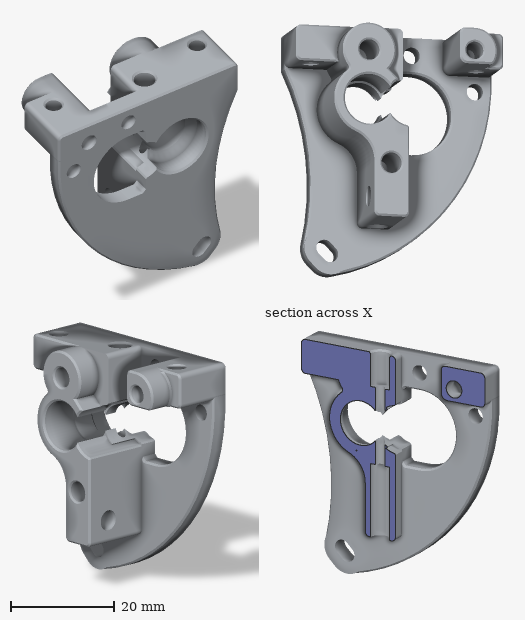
import cadquery as cq
import math

DEPTH = 17.5
WIDTH = 41.35
HEIGHT = 47.25
EDGE_CHAMFER = 0.4
CORNER_CHAMFER = 0.3
JOINT_CHAMFER = 0.35
CORNER_FILLET = 1.0

PLATE_THICKNESS = 3.6
PLATE_FRONT = DEPTH - PLATE_THICKNESS
FRONT_ARC_RADIUS = 39.9
REAR_ARC_RADIUS = 51.1
REAR_ARC_CENTER = (87.3, 17.5)
SLOT_UPPER = (33.5, 5.15)
SLOT_LOWER = (32.35, 4.0)
SLOT_ANGLE = 45
TIP_RADIUS = 4.0
FRONT_ARC_RISE = math.sqrt((FRONT_ARC_RADIUS - TIP_RADIUS) ** 2 - (FRONT_ARC_RADIUS - SLOT_LOWER[0]) ** 2)
FRONT_ARC_CENTER = (FRONT_ARC_RADIUS, SLOT_LOWER[1] + FRONT_ARC_RISE)
SCREW_HOLE = 3.2
PLATE_HOLES = [(16.05, 43.8), (3.45, 37.2)]

RAIL_HEIGHT = 7.05
RAIL_BOTTOM = HEIGHT - RAIL_HEIGHT
RAIL_FRONT = 5.0
RAIL_HOLE_X = 8.55
RAIL_HOLE_Y = (4.65, 37.65)

BORE_Y = 28.0
BORE_Z = 32.25
BORE_RADIUS = 4.9
BORE_NARROW_RADIUS = 4.5
BORE_STEP = 7.85
BORE_BOSS_RADIUS = 7.05
FLAT_LENGTH = 4.7
ROLLER_Y = 19.6
FLARE_START = 12.3
POCKET_RADIUS = BORE_NARROW_RADIUS + PLATE_FRONT - FLARE_START
PIVOT_Y = 28.05
PIVOT_Z = 41.95
PIVOT_BOSS_RADIUS = HEIGHT - PIVOT_Z
PIVOT_HOLE = 4.0
PIVOT_HOLE_DEPTH = 10.0
DRILL_HALF_ANGLE = math.radians(59)
CLAMP_SIDE = 20.05
LEG_WIDTH = 6.95
LEG_BOTTOM = 9.35
LEG_FILLET = 6.0
NECK_FILLET = 0.7
LEG_HOLE = 4.0
LEG_HOLE_Z = 19.9
CROSS_HOLE_X = 5.0
CROSS_HOLE_Z = 14.0

FEED_X = 11.55
FEED_Y = 23.6
FEED_HOLE = 2.1
FEED_SOCKET = 4.2
LOWER_SOCKET_TOP = 2 * BORE_Z - RAIL_BOTTOM

HINGE_Y = 7.0
HINGE_RADIUS = 4.45
HINGE_Z = HEIGHT - HINGE_RADIUS
HINGE_HOLE = 3.4
HINGE_FILLET = 1.4
HINGE_BLOCK_WIDTH = 9.9
HOLE_CHAMFER = 0.35

OPENING_RADIUS = 8.0
OPENING_Y = 16.05
OPENING_CORNER_Y = 19.35

PICK_MARGIN = 0.05


def box(x0, x1, y0, y1, z0, z1):
    return cq.Workplane("XY").box(x1 - x0, y1 - y0, z1 - z0, centered=False).translate((x0, y0, z0))


def disc_x(y, z, radius, x0, x1):
    """Cylinder along X."""
    return cq.Workplane("YZ", origin=(x0, 0, 0)).center(y, z).circle(radius).extrude(x1 - x0)


def disc_z(x, y, radius, z0, z1):
    """Cylinder along Z."""
    return cq.Workplane("XY", origin=(0, 0, z0)).center(x, y).circle(radius).extrude(z1 - z0)


def cone(point, direction, radius_start, radius_end, half_angle=math.pi / 4):
    length = abs(radius_end - radius_start) / math.tan(half_angle)
    solid = cq.Solid.makeCone(radius_start, radius_end, length, cq.Vector(*point), cq.Vector(*direction))
    return cq.Workplane(solid)


def rim_x(y, z, diameter):
    """Countersink of a hole that opens on the X=0 face."""
    return cone((0, y, z), (1, 0, 0), diameter / 2 + HOLE_CHAMFER, diameter / 2)


def rim_top(x, y, diameter):
    """Countersink of a hole that opens on the top face."""
    return cone((x, y, HEIGHT), (0, 0, -1), diameter / 2 + EDGE_CHAMFER, diameter / 2)


def toward(start, end, distance):
    """Point at a distance from start, in the direction of end."""
    scale = distance / math.hypot(end[0] - start[0], end[1] - start[1])
    return (start[0] + scale * (end[0] - start[0]), start[1] + scale * (end[1] - start[1]))


def arc_middle(center, radius, start, end):
    """Middle of the shorter arc between two points of a circle."""
    chord_middle = ((start[0] + end[0]) / 2, (start[1] + end[1]) / 2)
    return toward(center, chord_middle, radius)


def make_plate():
    front_top = RAIL_BOTTOM + CORNER_FILLET
    front_reach = math.sqrt(FRONT_ARC_RADIUS**2 - (front_top - FRONT_ARC_CENTER[1]) ** 2)
    front_start = (FRONT_ARC_CENTER[0] - front_reach, front_top)
    front_end = toward(FRONT_ARC_CENTER, SLOT_LOWER, FRONT_ARC_RADIUS)
    rear_end = toward(REAR_ARC_CENTER, SLOT_UPPER, REAR_ARC_RADIUS)
    rear_rise = math.sqrt(REAR_ARC_RADIUS**2 - (REAR_ARC_CENTER[0] - WIDTH) ** 2)
    rear_start = (WIDTH, REAR_ARC_CENTER[1] + rear_rise)
    tip_offset = TIP_RADIUS / math.sqrt(2)
    flat_lower = (SLOT_LOWER[0] + tip_offset, SLOT_LOWER[1] - tip_offset)
    flat_upper = (SLOT_UPPER[0] + tip_offset, SLOT_UPPER[1] - tip_offset)
    plate = (
        cq.Workplane("YZ", origin=(PLATE_FRONT, 0, 0))
        .moveTo(front_start[0], HEIGHT)
        .lineTo(*front_start)
        .threePointArc(arc_middle(FRONT_ARC_CENTER, FRONT_ARC_RADIUS, front_start, front_end), front_end)
        .threePointArc(arc_middle(SLOT_LOWER, TIP_RADIUS, front_end, flat_lower), flat_lower)
        .lineTo(*flat_upper)
        .threePointArc(arc_middle(SLOT_UPPER, TIP_RADIUS, flat_upper, rear_end), rear_end)
        .threePointArc(arc_middle(REAR_ARC_CENTER, REAR_ARC_RADIUS, rear_end, rear_start), rear_start)
        .lineTo(WIDTH, HEIGHT)
        .close()
        .extrude(PLATE_THICKNESS)
        .edges("|X and >Z")
        .fillet(CORNER_FILLET)
        .faces("<X or >X")
        .edges()
        .chamfer(EDGE_CHAMFER)
    )
    top_edge = box(PLATE_FRONT, PLATE_FRONT + EDGE_CHAMFER, HINGE_Y, BORE_Y, RAIL_BOTTOM, HEIGHT)
    return plate.union(top_edge).union(around_slot(TIP_RADIUS, EDGE_CHAMFER))


def around_slot(radius, thickness):
    """Stadium concentric with the slot, starting at the plate front."""
    slot_length = math.hypot(SLOT_UPPER[0] - SLOT_LOWER[0], SLOT_UPPER[1] - SLOT_LOWER[1])
    return (
        cq.Workplane("YZ", origin=(PLATE_FRONT, 0, 0))
        .center((SLOT_UPPER[0] + SLOT_LOWER[0]) / 2, (SLOT_UPPER[1] + SLOT_LOWER[1]) / 2)
        .slot2D(slot_length + 2 * radius, 2 * radius, SLOT_ANGLE)
        .extrude(thickness)
    )


def make_plate_cuts():
    cuts = around_slot(SCREW_HOLE / 2, PLATE_THICKNESS)
    for y, z in PLATE_HOLES:
        cuts = cuts.union(disc_x(y, z, SCREW_HOLE / 2, PLATE_FRONT, DEPTH))
    opening_top = BORE_Z + OPENING_RADIUS
    opening_bottom = BORE_Z - OPENING_RADIUS
    corner = CLAMP_SIDE - OPENING_CORNER_Y
    opening = (
        cq.Workplane("YZ", origin=(PLATE_FRONT, 0, 0))
        .moveTo(OPENING_CORNER_Y, opening_top)
        .lineTo(OPENING_Y, opening_top)
        .threePointArc((OPENING_Y - OPENING_RADIUS, BORE_Z), (OPENING_Y, opening_bottom))
        .lineTo(OPENING_CORNER_Y, opening_bottom)
        .lineTo(CLAMP_SIDE, opening_bottom + corner)
        .lineTo(CLAMP_SIDE, opening_top - corner)
        .close()
        .extrude(PLATE_THICKNESS)
    )
    mouth = opening.faces("<X").wires().toPending().offset2D(EDGE_CHAMFER).extrude(EDGE_CHAMFER, taper=45)
    mouth = mouth.intersect(box(PLATE_FRONT, DEPTH, 0, CLAMP_SIDE, 0, HEIGHT))
    roller_bore = disc_x(ROLLER_Y, BORE_Z, BORE_NARROW_RADIUS, PLATE_FRONT, DEPTH)
    return cuts.union(opening).union(mouth).union(roller_bore)


def make_clamp():
    """Bosses around the bore and the pivot, with the leg below."""
    bore_boss = disc_x(BORE_Y, BORE_Z, BORE_BOSS_RADIUS, 0, PLATE_FRONT)
    pivot_boss = disc_x(PIVOT_Y, PIVOT_Z, PIVOT_BOSS_RADIUS, 0, PLATE_FRONT)
    leg = box(0, PLATE_FRONT, CLAMP_SIDE, CLAMP_SIDE + LEG_WIDTH, LEG_BOTTOM, BORE_Z)
    leg = leg.edges("|X and <Z").fillet(CORNER_FILLET)
    neck = (BORE_Y + BORE_BOSS_RADIUS / 2, (BORE_Z + PIVOT_Z) / 2)
    crook = (CLAMP_SIDE + LEG_WIDTH, BORE_Z - BORE_BOSS_RADIUS)
    clamp = bore_boss.union(pivot_boss).union(leg)
    for (y, z), radius in ((neck, NECK_FILLET), (crook, LEG_FILLET)):
        clamp = clamp.edges(cq.selectors.NearestToPointSelector((PLATE_FRONT / 2, y, z))).fillet(radius)
    clamp = clamp.union(guide_flat()).cut(make_bores())
    return chamfer_side_corners(clamp).faces("<X").edges().chamfer(EDGE_CHAMFER)


def chamfer_side_corners(body):
    """Break the corners between the roller bore and the flat clamp side."""
    low = (-PICK_MARGIN, CLAMP_SIDE - PICK_MARGIN, BORE_Z - BORE_RADIUS - PICK_MARGIN)
    high = (DEPTH + PICK_MARGIN, CLAMP_SIDE + PICK_MARGIN, BORE_Z + BORE_RADIUS + PICK_MARGIN)
    return body.edges(cq.selectors.BoxSelector(low, high)).edges("|X").chamfer(CORNER_CHAMFER)


def guide_flat():
    """Block on the upper -Y side of the bore with a 45 degree flat, tangent to the bore boss."""
    flat = box(0, PLATE_FRONT, -BORE_BOSS_RADIUS, 0, -FLAT_LENGTH / 2, FLAT_LENGTH / 2)
    return flat.rotate((0, 0, 0), (1, 0, 0), -45).translate((0, BORE_Y, BORE_Z))


def make_bores():
    bores = disc_x(BORE_Y, BORE_Z, BORE_RADIUS, 0, PLATE_FRONT)
    bores = bores.union(disc_x(ROLLER_Y, BORE_Z, BORE_RADIUS, 0, PLATE_FRONT))
    return bores.cut(make_lips())


def make_lips():
    """Ring that narrows both bores next to the feed passage, kept within 45 degree planes."""
    side = math.sqrt(2) * BORE_BOSS_RADIUS
    lips = (
        cq.Workplane("YZ", origin=(BORE_STEP, 0, 0))
        .moveTo(BORE_Y - side, BORE_Z)
        .lineTo(BORE_Y, BORE_Z + side)
        .lineTo(BORE_Y + side, BORE_Z)
        .lineTo(BORE_Y, BORE_Z - side)
        .close()
        .extrude(PLATE_FRONT - BORE_STEP)
    )
    for y in (BORE_Y, ROLLER_Y):
        lips = lips.cut(disc_x(y, BORE_Z, BORE_NARROW_RADIUS, BORE_STEP, PLATE_FRONT))
    return lips


def make_pocket():
    """Flare and bearing pocket behind the narrow bore."""
    flare = cone((FLARE_START, BORE_Y, BORE_Z), (1, 0, 0), BORE_NARROW_RADIUS, POCKET_RADIUS)
    rim = cone((DEPTH, BORE_Y, BORE_Z), (-1, 0, 0), POCKET_RADIUS + EDGE_CHAMFER, POCKET_RADIUS)
    return flare.union(disc_x(BORE_Y, BORE_Z, POCKET_RADIUS, PLATE_FRONT, DEPTH)).union(rim)


def boss_joint(y, z, radius):
    """Chamfered ring that joins a round boss to the chamfered rail face behind it."""
    ring = cone((RAIL_FRONT - JOINT_CHAMFER, y, z), (1, 0, 0), radius, radius + JOINT_CHAMFER)
    ring = ring.union(disc_x(y, z, radius + JOINT_CHAMFER, RAIL_FRONT, RAIL_FRONT + EDGE_CHAMFER))
    return ring.intersect(box(0, DEPTH, 0, WIDTH, RAIL_BOTTOM, HEIGHT - EDGE_CHAMFER))


def make_clamp_rail():
    """Rail above the clamp: a chamfered outer block and a taller inner block beside the pivot boss."""
    outer = box(RAIL_FRONT, DEPTH, CLAMP_SIDE, WIDTH, RAIL_BOTTOM, HEIGHT)
    outer = outer.edges("|X and >Y").fillet(CORNER_FILLET)
    outer = outer.faces("<X or >X").edges().chamfer(EDGE_CHAMFER)
    inner = box(RAIL_FRONT, PLATE_FRONT, CLAMP_SIDE, BORE_Y, BORE_Z, HEIGHT)
    inner = inner.edges("|X and >Z and <Y").fillet(CORNER_FILLET).cut(make_bores())
    joint = boss_joint(PIVOT_Y, PIVOT_Z, PIVOT_BOSS_RADIUS)
    outer = outer.union(joint).intersect(box(0, DEPTH, BORE_Y, WIDTH, RAIL_BOTTOM, HEIGHT))
    return outer.union(chamfer_side_corners(inner))


def round_hinge_corners(body):
    body = body.edges("|X and >Y and >Z").fillet(CORNER_FILLET)
    return body.edges("|X and >Y and <Z").fillet(HINGE_FILLET)


def make_hinge_rail():
    block = box(RAIL_FRONT, DEPTH, 0, HINGE_BLOCK_WIDTH, RAIL_BOTTOM, HEIGHT)
    block = round_hinge_corners(block.edges("|X and <Y").fillet(CORNER_FILLET))
    block = block.faces("<X or >X").edges().chamfer(EDGE_CHAMFER)
    boss = box(0, PLATE_FRONT, HINGE_Y, HINGE_BLOCK_WIDTH, RAIL_BOTTOM, HEIGHT)
    boss = round_hinge_corners(boss)
    half = box(0, PLATE_FRONT, 0, HINGE_Y, RAIL_BOTTOM, HEIGHT)
    barrel = disc_x(HINGE_Y, HINGE_Z, HINGE_RADIUS, 0, PLATE_FRONT).intersect(half)
    barrel = barrel.edges("|X and <Z and <Y").fillet(CORNER_FILLET)
    boss = boss.union(barrel).faces("<X").edges().chamfer(EDGE_CHAMFER)
    joint = boss_joint(HINGE_Y, HINGE_Z, HINGE_RADIUS).intersect(half)
    return block.union(joint).union(boss)


def make_holes():
    tools = [
        disc_x(PIVOT_Y, PIVOT_Z, PIVOT_HOLE / 2, 0, PIVOT_HOLE_DEPTH),
        cone((PIVOT_HOLE_DEPTH, PIVOT_Y, PIVOT_Z), (1, 0, 0), PIVOT_HOLE / 2, 0, DRILL_HALF_ANGLE),
        rim_x(PIVOT_Y, PIVOT_Z, PIVOT_HOLE),
        disc_x(FEED_Y, LEG_HOLE_Z, LEG_HOLE / 2, 0, FEED_X),
        rim_x(FEED_Y, LEG_HOLE_Z, LEG_HOLE),
        disc_x(HINGE_Y, HINGE_Z, HINGE_HOLE / 2, 0, DEPTH),
        rim_x(HINGE_Y, HINGE_Z, HINGE_HOLE),
        cq.Workplane("XZ").center(CROSS_HOLE_X, CROSS_HOLE_Z).circle(LEG_HOLE / 2)
        .extrude(-CLAMP_SIDE - LEG_WIDTH),
        disc_z(FEED_X, FEED_Y, FEED_HOLE / 2, LEG_BOTTOM, HEIGHT),
        disc_z(FEED_X, FEED_Y, FEED_SOCKET / 2, RAIL_BOTTOM, HEIGHT),
        disc_z(FEED_X, FEED_Y, FEED_SOCKET / 2, LEG_BOTTOM, LOWER_SOCKET_TOP),
        rim_top(FEED_X, FEED_Y, FEED_SOCKET),
    ]
    for y in RAIL_HOLE_Y:
        tools.append(disc_z(RAIL_HOLE_X, y, SCREW_HOLE / 2, RAIL_BOTTOM, HEIGHT))
        tools.append(rim_top(RAIL_HOLE_X, y, SCREW_HOLE))
    return tools


result = chamfer_side_corners(make_plate().cut(make_plate_cuts()))
for body in (make_clamp(), make_clamp_rail(), make_hinge_rail()):
    result = result.union(body)
result = result.cut(make_pocket())
for tool in make_holes():
    result = result.cut(tool)